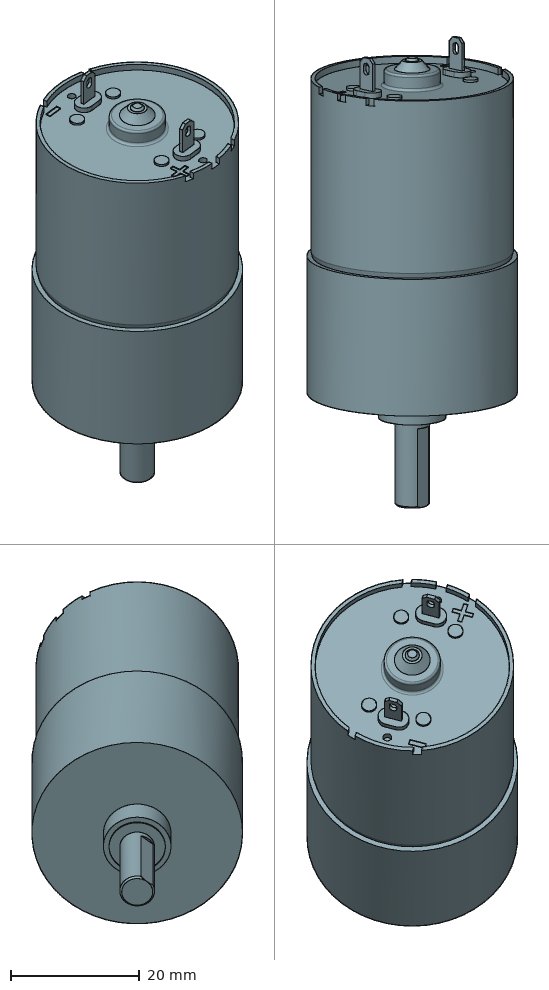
import cadquery as cq

total_height = 73.0
shaft_flat_top = 12.7
nose_bottom = 13.7
nose_shoulder = 13.95
gearbox_bottom = 17.95
gearbox_top = 39.8
can_top = 68.1
end_plate_top = 67.0
bearing_top = 69.55
cone_top = 70.95
rear_tip_top = 71.4

gearbox_diameter = 32.8
shaft_radius = 2.7
nose_end_radius = 4.4
nose_radius = 5.25
gearbox_radius = gearbox_diameter / 2
can_radius = 15.8
can_inner_radius = 15.1
bearing_radius = 4.4
cone_base_radius = 2.8
cone_top_radius = 1.5
rear_tip_radius = 1.1

shaft_chamfer = 0.3
can_chamfer_height = 0.8
can_chamfer_width = 0.2
rear_tip_chamfer = 0.4
bearing_round = 0.4
bearing_root_fillet = 0.45
shaft_flat_offset = 2.4

notch_width = 1.3
notch_spacing = 10.65
notch_reach = 2.9
key_notch_width = 1.75

terminal_spacing = 19.85
terminal_thickness = 0.6
terminal_width = 2.8
terminal_chamfer = 0.7
terminal_hole_width = 1.2
terminal_hole_length = 1.8
terminal_hole_center_z = 71.2
pad_length = 4.9
pad_width = 3.1
pad_height = 0.9

bump_spacing_x = 16.9
bump_spacing_y = 8.8
bump_radius = 1.2
bump_height = 0.4
vent_spacing = 26.35
vent_radius = 0.65
vent_depth = 1.1
mark_depth = 0.15
plus_center = (12.2, -4.45)
plus_span = 3.3
plus_bar_width = 0.65
minus_center = (-12.9, -4.8)
minus_length = 2.6
minus_width = 0.8


def end_plate():
    """Work plane on the outer face of the end plate."""
    return cq.Workplane("XY").workplane(offset=end_plate_top)


def make_body():
    """Shaft, nose, gearbox, motor can and rear bearing turned about Z."""
    profile = (
        cq.Workplane("XZ")
        .moveTo(0, 0)
        .lineTo(shaft_radius - shaft_chamfer, 0)
        .lineTo(shaft_radius, shaft_chamfer)
        .lineTo(shaft_radius, nose_bottom)
        .lineTo(nose_end_radius, nose_bottom)
        .lineTo(nose_end_radius, nose_shoulder)
        .lineTo(nose_radius, nose_shoulder)
        .lineTo(nose_radius, gearbox_bottom)
        .lineTo(gearbox_radius, gearbox_bottom)
        .lineTo(gearbox_radius, gearbox_top)
        .lineTo(can_radius - can_chamfer_width, gearbox_top)
        .lineTo(can_radius, gearbox_top + can_chamfer_height)
        .lineTo(can_radius, can_top)
        .lineTo(can_inner_radius, can_top)
        .lineTo(can_inner_radius, end_plate_top)
        .lineTo(bearing_radius + bearing_root_fillet, end_plate_top)
        .radiusArc((bearing_radius, end_plate_top + bearing_root_fillet), bearing_root_fillet)
        .lineTo(bearing_radius, bearing_top - bearing_round)
        .radiusArc((bearing_radius - bearing_round, bearing_top), -bearing_round)
        .lineTo(cone_base_radius, bearing_top)
        .lineTo(cone_top_radius, cone_top)
        .lineTo(rear_tip_radius, cone_top)
        .lineTo(rear_tip_radius, rear_tip_top - rear_tip_chamfer)
        .lineTo(rear_tip_radius - rear_tip_chamfer, rear_tip_top)
        .lineTo(0, rear_tip_top)
        .close()
    )
    return profile.revolve(360, (0, 0, 0), (0, 1, 0))


def make_shaft_flat():
    """Cutter for the flat that gives the shaft its D shape on the +Y side."""
    cut_depth = shaft_radius - shaft_flat_offset
    return (
        cq.Workplane("XY")
        .center(0, shaft_flat_offset + cut_depth / 2)
        .rect(2 * shaft_radius, cut_depth)
        .extrude(shaft_flat_top)
    )


def make_rim_notches():
    """Cutters for two can rim notches on each X side and a wider one in the middle of +X."""
    side_notches = (
        end_plate()
        .rect(2 * can_radius, notch_spacing, forConstruction=True)
        .vertices()
        .rect(2 * notch_reach, notch_width)
        .extrude(can_top - end_plate_top)
    )
    key_notch = (
        end_plate()
        .center(can_radius, 0)
        .rect(2 * notch_reach, key_notch_width)
        .extrude(can_top - end_plate_top)
    )
    return side_notches.union(key_notch)


def make_terminal(x):
    """Solder tag standing on an insulating pad at the given X position."""
    pad = end_plate().center(x, 0).slot2D(pad_length, pad_width, 90).extrude(pad_height)
    tag = (
        end_plate()
        .center(x, 0)
        .rect(terminal_thickness, terminal_width)
        .extrude(total_height - end_plate_top)
        .edges("|X and >Z")
        .chamfer(terminal_chamfer)
    )
    hole = (
        cq.Workplane("YZ", origin=(x, 0, terminal_hole_center_z))
        .slot2D(terminal_hole_length, terminal_hole_width, 90)
        .extrude(terminal_thickness, both=True)
    )
    return pad.union(tag.cut(hole))


def make_rivet_bumps():
    """Four low round bumps around the terminals."""
    return (
        end_plate()
        .rect(bump_spacing_x, bump_spacing_y, forConstruction=True)
        .vertices()
        .circle(bump_radius)
        .extrude(bump_height)
    )


def make_vent_holes():
    """Cutters for the two blind holes outboard of the terminals."""
    return (
        end_plate()
        .pushPoints([(-vent_spacing / 2, 0), (vent_spacing / 2, 0)])
        .circle(vent_radius)
        .extrude(-vent_depth)
    )


def make_polarity_marks():
    """Cutters for the shallow plus and minus marks beside the terminals."""
    plus = end_plate().center(*plus_center).rect(plus_span, plus_bar_width).extrude(-mark_depth)
    plus_upright = end_plate().center(*plus_center).rect(plus_bar_width, plus_span).extrude(-mark_depth)
    minus = end_plate().center(*minus_center).rect(minus_width, minus_length).extrude(-mark_depth)
    return plus.union(plus_upright).union(minus)


result = make_body()
result = result.cut(make_shaft_flat())
result = result.cut(make_rim_notches())
result = result.cut(make_vent_holes())
result = result.cut(make_polarity_marks())
result = result.union(make_rivet_bumps())
for side in (-1, 1):
    result = result.union(make_terminal(side * terminal_spacing / 2))